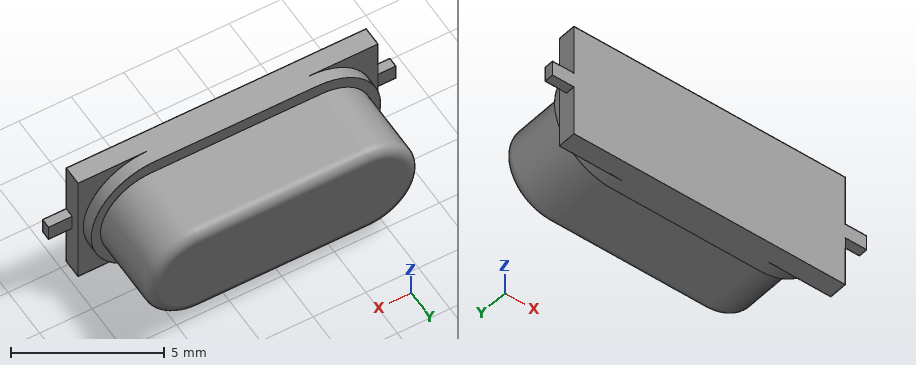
import cadquery as cq

base_length = 11.4
base_height = 4.8
base_thickness = 0.75

flange_length = 11.0
flange_height = base_height
flange_thickness = 0.5

can_length = 10.3
can_height = 3.8
can_rim_radius = 0.4

lead_span = 13.2
lead_height = 0.62
lead_thickness = 0.38

overall_depth = 4.3

base_start = -overall_depth / 2
flange_start = base_start + base_thickness
can_start = flange_start + flange_thickness
can_end = base_start + overall_depth


def plane_at(y):
    """Workplane at the given Y, facing +Y, with global Z running up the sketch."""
    return cq.Workplane(cq.Plane(origin=(0, y, 0), xDir=(-1, 0, 0), normal=(0, 1, 0)))


def make_base():
    return plane_at(base_start).rect(base_length, base_height).extrude(base_thickness)


def make_flange():
    return plane_at(flange_start).slot2D(flange_length, flange_height).extrude(flange_thickness)


def make_can():
    can = plane_at(can_start).slot2D(can_length, can_height).extrude(can_end - can_start)
    return can.faces(">Y").edges().fillet(can_rim_radius)


def make_leads():
    return plane_at(base_start).rect(lead_span, lead_height).extrude(lead_thickness)


result = make_base().union(make_flange()).union(make_can()).union(make_leads())